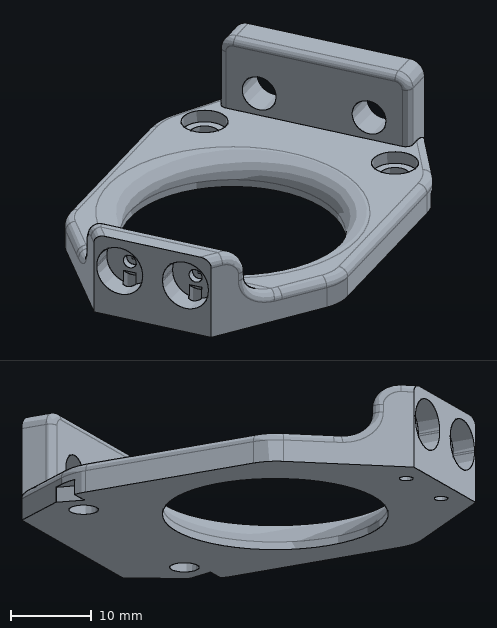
import cadquery as cq
import math

clearance = 0.55

length = 52.75
width = 38.0
front_width = 16.0
rear_width = 26.05
front_corner_y = 14.65
rear_corner_y = 42.55
front_corner_radius = 6.0
rear_corner_radius = 8.0
plate_height = 4.0

lip_height = 11.0
lip_thickness = 5.0
blend_radius = 3.0
wall_height = 14.0
wall_thickness = 4.5
wall_corner_radius = 2.0
wall_edge_radius = 1.0
side_edge_radius = 1.2

opening_diameter = 28.0
opening_y = 24.0
rim_radius = blend_radius

screw_x = 13.0
screw_y = 44.0
screw_diameter = 3.65
screw_head_diameter = 5.8
screw_head_depth = 1.65

wall_hole_x = 7.5
wall_hole_z = 7.05
wall_hole_diameter = 4.6

socket_x = 4.5
socket_z = 6.6
socket_width = 6.2
socket_tall = 6.5
socket_depth = 3.0
recess_z = 6.45
recess_diameter = 1.75
recess_depth = 1.0
pilot_diameter = 0.3

channel_diameter = 1.7
channel_height = 5.0

relief_height = 1.95
relief_front_y = 42.1
relief_bend_y = 42.45
relief_rear_y = 45.5
relief_rear_x = 17.2
relief_slope = math.radians(15)
relief_bend_slope = math.radians(22)
relief_reach = width / 2 + clearance


def make_base():
    """Plate and front lip, with rounded upper edges along both flanks."""
    half = width / 2
    outline = (
        cq.Workplane("XY")
        .polyline([
            (-front_width / 2, 0),
            (front_width / 2, 0),
            (half, front_corner_y),
            (half, rear_corner_y),
            (rear_width / 2, length),
            (-rear_width / 2, length),
            (-half, rear_corner_y),
            (-half, front_corner_y),
        ])
        .close()
        .extrude(lip_height)
    )
    for y, radius in ((front_corner_y, front_corner_radius), (rear_corner_y, rear_corner_radius)):
        corner_edges = cq.selectors.BoxSelector(
            (-width, y - clearance, 0), (width, y + clearance, lip_height)
        )
        outline = outline.edges("|Z").edges(corner_edges).fillet(radius)

    bend = blend_radius * math.sqrt(0.5)
    crown_y = lip_thickness - blend_radius
    crown_z = lip_height - blend_radius
    cove_y = lip_thickness + blend_radius
    cove_z = plate_height + blend_radius
    side_profile = (
        cq.Workplane("YZ")
        .moveTo(0, 0)
        .lineTo(0, lip_height)
        .lineTo(crown_y, lip_height)
        .threePointArc((crown_y + bend, crown_z + bend), (lip_thickness, crown_z))
        .lineTo(lip_thickness, cove_z)
        .threePointArc((cove_y - bend, cove_z - bend), (cove_y, plate_height))
        .lineTo(length, plate_height)
        .lineTo(length, 0)
        .close()
        .extrude(half, both=True)
    )
    base = outline.intersect(side_profile)

    inset = 0.005
    low_z = plate_height - clearance
    high_z = lip_height + clearance
    left_flank = cq.selectors.BoxSelector(
        (-width, inset, low_z), (-front_width / 2, length - inset, high_z)
    )
    right_flank = cq.selectors.BoxSelector(
        (front_width / 2, inset, low_z), (width, length - inset, high_z)
    )
    flank_edges = base.edges(left_flank + right_flank).edges("not |Z")
    return flank_edges.fillet(side_edge_radius)


def make_wall():
    """Upright rear wall with rounded top corners and a softened front edge."""
    wall = (
        cq.Workplane("XY")
        .box(rear_width, wall_thickness, wall_height, centered=(True, False, False))
        .translate((0, length - wall_thickness, 0))
        .edges("|Y and >Z")
        .fillet(wall_corner_radius)
    )
    return wall.faces("<Y").edges("not <Z").fillet(wall_edge_radius)


def make_opening():
    """Cutter for the large opening; the rim flares outward to the plate top."""
    radius = opening_diameter / 2
    outer = radius + rim_radius
    bend = rim_radius * (1 - math.sqrt(0.5))
    rim_start = plate_height - rim_radius
    return (
        cq.Workplane("XZ")
        .moveTo(0, 0)
        .lineTo(radius, 0)
        .lineTo(radius, rim_start)
        .threePointArc((radius + bend, plate_height - bend), (outer, plate_height))
        .lineTo(outer, plate_height + clearance)
        .lineTo(0, plate_height + clearance)
        .close()
        .revolve(360, (0, 0, 0), (0, 1, 0))
        .translate((0, opening_y, 0))
    )


def make_screw_hole(side):
    """Cutter for one counterbored screw hole."""
    head_seat = plate_height - screw_head_depth
    centre = cq.Workplane("XY").center(side * screw_x, screw_y)
    shank = centre.circle(screw_diameter / 2).extrude(plate_height)
    head = (
        centre.workplane(offset=head_seat)
        .circle(screw_head_diameter / 2)
        .extrude(screw_head_depth)
    )
    return shank.union(head)


def make_wall_hole(side):
    """Cutter for one hole through the rear wall."""
    return (
        cq.Workplane("XZ", origin=(0, length, 0))
        .center(side * wall_hole_x, wall_hole_z)
        .circle(wall_hole_diameter / 2)
        .extrude(wall_thickness)
    )


def make_socket(side):
    """Cutter for one socket with its stepped centre hole and upright channel."""
    front = cq.Workplane("XZ").center(side * socket_x, 0)
    socket = front.center(0, socket_z).slot2D(socket_tall, socket_width, 90).extrude(-socket_depth)
    recess = front.center(0, recess_z).circle(recess_diameter / 2).extrude(-socket_depth - recess_depth)
    pilot = front.center(0, recess_z).circle(pilot_diameter / 2).extrude(-lip_thickness - blend_radius)

    radius = channel_diameter / 2
    roof_limit = (
        cq.Workplane("YZ")
        .polyline([
            (socket_depth - radius, 0),
            (socket_depth - radius, channel_height),
            (socket_depth, channel_height),
            (socket_depth + radius, channel_height - radius),
            (socket_depth + radius, 0),
        ])
        .close()
        .extrude(radius, both=True)
        .translate((side * socket_x, 0, 0))
    )
    channel = (
        cq.Workplane("XY")
        .center(side * socket_x, socket_depth)
        .circle(radius)
        .extrude(channel_height)
        .intersect(roof_limit)
    )
    return socket.union(recess).union(pilot).union(channel)


def make_relief(side):
    """Cutter under one rear corner, with a bent inner face."""
    bend_x = relief_rear_x - (relief_rear_y - relief_bend_y) * math.tan(relief_slope)
    front_x = bend_x - (relief_bend_y - relief_front_y) * math.tan(relief_bend_slope)
    return (
        cq.Workplane("XY")
        .polyline([
            (side * relief_rear_x, relief_rear_y),
            (side * bend_x, relief_bend_y),
            (side * front_x, relief_front_y),
            (side * relief_reach, relief_front_y),
            (side * relief_reach, relief_rear_y),
        ])
        .close()
        .extrude(relief_height)
    )


result = make_base().cut(make_opening()).union(make_wall())
for side in (-1, 1):
    for make_cutter in (make_screw_hole, make_wall_hole, make_socket, make_relief):
        result = result.cut(make_cutter(side))